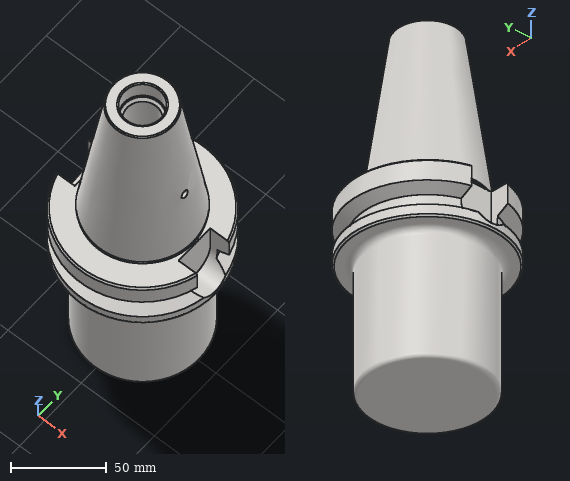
import cadquery as cq
import math

total_height = 219.8
gauge_height = 117.8
flange_top = 115.2
upper_rim_bottom = 102.0
groove_top = 97.8
groove_bottom = 91.5
lower_rim_top = 87.0
flange_bottom = 80.0

flange_radius = 50.0
body_radius = 39.0
groove_radius = 42.2
taper_large_radius = 35.0
taper_ratio = 7 / 48
relief_radius = 34.5
relief_top = 117.0

taper_end_chamfer = 0.7
flange_chamfer = 1.0
body_edge_radius = 2.6
body_fillet = 4.6

slot_width = 25.7
slot_floor = 35.4
slot_bottom = 83.5

counterbore_radius = 12.5
counterbore_depth = 11.6
pilot_radius = 12.3
pilot_depth = 13.0
mouth_radius = 13.5
mouth_half_angle = 60
thread_radius = 10.5
thread_depth = 44.0
drill_mouth_radius = 10.0
drill_radius = 8.5

side_hole_radius = 2.5
side_hole_height = 159.4
side_hole_floor = 19.8

taper_small_radius = taper_large_radius - (total_height - gauge_height) * taper_ratio


def make_holder():
    """Revolve the body, grooved flange and taper in one profile about Z."""
    fillet_top_radius = body_radius + body_fillet
    fillet_mid_reach = body_fillet * (1 - math.sqrt(0.5))
    profile = (
        cq.Workplane("XZ")
        .lineTo(body_radius - body_edge_radius, 0)
        .radiusArc((body_radius, body_edge_radius), -body_edge_radius)
        .lineTo(body_radius, flange_bottom - body_fillet)
        .threePointArc(
            (body_radius + fillet_mid_reach, flange_bottom - fillet_mid_reach),
            (fillet_top_radius, flange_bottom),
        )
        .lineTo(flange_radius - flange_chamfer, flange_bottom)
        .lineTo(flange_radius, flange_bottom + flange_chamfer)
        .lineTo(flange_radius, lower_rim_top)
        .lineTo(groove_radius, groove_bottom)
        .lineTo(groove_radius, groove_top)
        .lineTo(flange_radius, upper_rim_bottom)
        .lineTo(flange_radius, flange_top - flange_chamfer)
        .lineTo(flange_radius - flange_chamfer, flange_top)
        .lineTo(relief_radius, flange_top)
        .lineTo(relief_radius, relief_top)
        .lineTo(taper_large_radius, gauge_height)
        .lineTo(taper_small_radius + taper_end_chamfer * taper_ratio, total_height - taper_end_chamfer)
        .lineTo(taper_small_radius - taper_end_chamfer, total_height)
        .lineTo(0, total_height)
        .close()
    )
    return profile.revolve(360, (0, 0, 0), (0, 1, 0))


def make_slot(side):
    """Round-bottomed drive slot, open at the top and at the rim, on the +X (1) or -X (-1) side."""
    arc_radius = slot_width / 2
    arc_height = slot_bottom + arc_radius
    return (
        cq.Workplane("YZ", origin=(side * slot_floor, 0, 0))
        .moveTo(-arc_radius, gauge_height)
        .lineTo(-arc_radius, arc_height)
        .threePointArc((0, slot_bottom), (arc_radius, arc_height))
        .lineTo(arc_radius, gauge_height)
        .close()
        .extrude(side * flange_radius)
    )


def make_bore():
    """Stepped blind bore in the small end of the taper, with 45 degree cones between its diameters."""
    mouth_depth = (mouth_radius - counterbore_radius) / math.tan(math.radians(mouth_half_angle))
    counterbore_floor = total_height - counterbore_depth
    pilot_bottom = total_height - pilot_depth
    thread_top = pilot_bottom - (pilot_radius - thread_radius)
    thread_bottom = total_height - thread_depth
    drill_floor = thread_bottom - (drill_mouth_radius - drill_radius)
    return (
        cq.Workplane("XZ")
        .moveTo(0, total_height)
        .lineTo(mouth_radius, total_height)
        .lineTo(counterbore_radius, total_height - mouth_depth)
        .lineTo(counterbore_radius, counterbore_floor)
        .lineTo(pilot_radius, counterbore_floor)
        .lineTo(pilot_radius, pilot_bottom)
        .lineTo(thread_radius, thread_top)
        .lineTo(thread_radius, thread_bottom)
        .lineTo(drill_mouth_radius, thread_bottom)
        .lineTo(drill_radius, drill_floor)
        .lineTo(0, drill_floor)
        .close()
        .revolve(360, (0, 0, 0), (0, 1, 0))
    )


def make_side_hole():
    """Radial blind hole in the taper, opening on the +X side."""
    return (
        cq.Workplane("YZ", origin=(side_hole_floor, 0, side_hole_height))
        .circle(side_hole_radius)
        .extrude(taper_large_radius - side_hole_floor)
    )


result = make_holder().cut(make_bore()).cut(make_side_hole())
for side in (-1, 1):
    result = result.cut(make_slot(side))